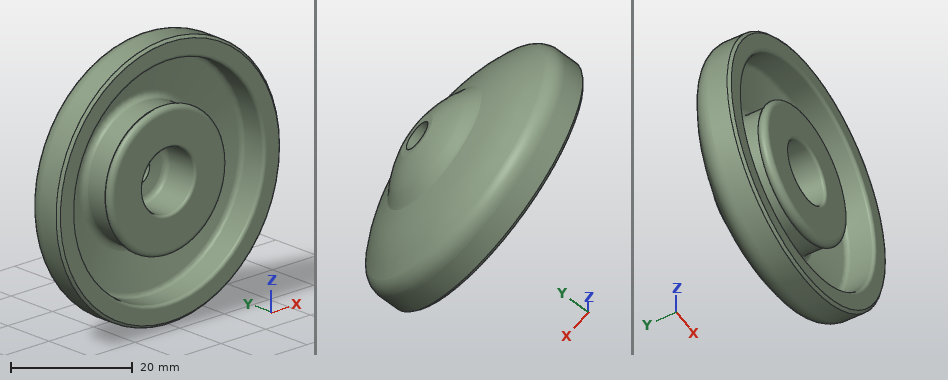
import cadquery as cq
import math


outer_radius = 25.0
edge_chamfer = 0.5
rim_height = 4.3
shoulder_radius = 3.5
shoulder_sweep = math.radians(58)
dome_end_radius = 12.3
dome_end_height = 11.55

cap_base_radius = 11.8
cap_base_height = 11.85
cap_flat_radius = 4.15
total_height = 15.3
cap_sphere_radius = 20.0

rim_inner_radius = 21.2
rim_inner_fillet = 0.6
recess_rim_depth = 5.35
recess_hub_depth = 7.5
recess_outer_fillet = 0.9
hub_face_height = 0.2
hub_neck_radius = 12.5
hub_lip_radius = 13.05
hub_lip_rounding = 1.0
hub_root_fillet = 1.0

bore_radius = 5.9
bore_depth = 7.25
bore_edge_fillet = 0.5
bore_floor_fillet = 1.0
bore_floor_rise = 0.65
through_radius = 2.8


def revolve(profile):
    """Turn a closed (radius, height) profile about the Y axis."""
    return profile.close().revolve(360, (0, 0, 0), (0, 1, 0))


def circle_edge(radius, height):
    """Select the circular edge of a given radius and height."""
    tolerance = 0.005
    low = (-radius - tolerance, height - tolerance, -radius - tolerance)
    high = (radius + tolerance, height + tolerance, radius + tolerance)
    inner = radius - tolerance
    return cq.selectors.BoxSelector(low, high, boundingbox=True) - cq.selectors.BoxSelector(
        (-inner, low[1], -inner), (inner, high[1], inner), boundingbox=True
    )


def make_body():
    shoulder_end = (
        outer_radius - shoulder_radius * (1 - math.cos(shoulder_sweep)),
        rim_height + shoulder_radius * math.sin(shoulder_sweep),
    )
    profile = (
        cq.Workplane("XY")
        .lineTo(outer_radius - edge_chamfer, 0)
        .lineTo(outer_radius, edge_chamfer)
        .lineTo(outer_radius, rim_height)
        .tangentArcPoint(shoulder_end, relative=False)
        .tangentArcPoint((dome_end_radius, dome_end_height), relative=False)
        .lineTo(cap_base_radius, cap_base_height)
        .radiusArc((cap_flat_radius, total_height), -cap_sphere_radius)
        .lineTo(0, total_height)
    )
    return revolve(profile)


def make_recess():
    """Cutter around a round-lipped hub, with a conical floor that deepens towards the hub."""
    lip_center_radius = hub_lip_radius - hub_lip_rounding
    lip_center_height = hub_face_height + hub_lip_rounding
    neck_offset = hub_neck_radius - lip_center_radius
    neck_start = lip_center_height + math.sqrt(hub_lip_rounding**2 - neck_offset**2)
    lip_diagonal = hub_lip_rounding * math.sqrt(0.5)
    lip_middle = (lip_center_radius + lip_diagonal, lip_center_height - lip_diagonal)
    profile = (
        cq.Workplane("XY")
        .lineTo(rim_inner_radius, 0)
        .lineTo(rim_inner_radius, recess_rim_depth)
        .lineTo(hub_neck_radius, recess_hub_depth)
        .lineTo(hub_neck_radius, neck_start)
        .threePointArc(lip_middle, (lip_center_radius, hub_face_height))
        .lineTo(0, hub_face_height)
    )
    return revolve(profile)


def make_bore():
    """Counterbore with a conical floor, opening into a through hole."""
    profile = (
        cq.Workplane("XY")
        .lineTo(bore_radius, 0)
        .lineTo(bore_radius, bore_depth)
        .lineTo(through_radius, bore_depth + bore_floor_rise)
        .lineTo(through_radius, total_height)
        .lineTo(0, total_height)
    )
    return revolve(profile)


result = make_body().cut(make_recess()).cut(make_bore())

rounded_edges = [
    (rim_inner_radius, 0, rim_inner_fillet),
    (rim_inner_radius, recess_rim_depth, recess_outer_fillet),
    (hub_neck_radius, recess_hub_depth, hub_root_fillet),
    (bore_radius, hub_face_height, bore_edge_fillet),
    (bore_radius, bore_depth, bore_floor_fillet),
]
for edge_radius, edge_height, fillet in rounded_edges:
    result = result.edges(circle_edge(edge_radius, edge_height)).fillet(fillet)